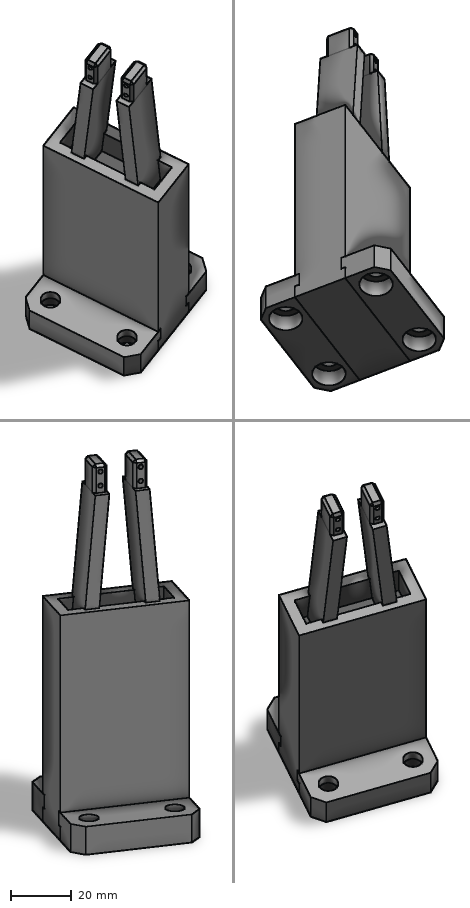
import cadquery as cq

housing_length = 45.0
housing_width = 19.0
housing_height = 80.0
wall = 4.0
cavity_depth = 10.0
cavity_length = housing_length - 2 * wall
cavity_width = housing_width - 2 * wall
cavity_floor_z = housing_height - cavity_depth

flange_span = 49.0
flange_height = 10.0
flange_width = (flange_span - housing_width) / 2
corner_chamfer = 4.0
tongue_depth = 1.5
tongue_height = flange_height / 2
bolt_hole_diameter = 6.5
counterbore_diameter = 11.0
counterbore_depth = 6.6
bolt_hole_x = 15.0
bolt_hole_y = 17.0

total_height = 130.0
tip_height = 10.0
tip_thickness = 5.0
tip_width = 10.0
tip_chamfer = 1.0
tip_x = 7.0
arm_top_z = total_height - tip_height
arm_width = 14.0
arm_foot_x = 11.5
tip_hole_diameter = 1.5
tip_hole_spacing = tip_height / 2

SIDES = (-1, 1)


def make_tongue(side):
    """Bar filling the groove on one Y side of the housing, flush with the flange top."""
    return cq.Workplane("XY").box(
        housing_length, tongue_depth, tongue_height, centered=(True, True, False)
    ).translate((0, side * (housing_width - tongue_depth) / 2, flange_height - tongue_height))


def make_cavity():
    """Rectangular space that the fingers rise from, open at the housing top."""
    return cq.Workplane("XY").workplane(offset=cavity_floor_z).rect(
        cavity_length, cavity_width
    ).extrude(cavity_depth)


def make_housing():
    """Block with the finger cavity on top and a tongue groove on each Y side."""
    block = cq.Workplane("XY").box(
        housing_length, housing_width, housing_height, centered=(True, True, False)
    )
    block = block.cut(make_cavity())
    for side in SIDES:
        block = block.cut(make_tongue(side))
    return block


def make_flange(side):
    """Plate on one Y side, with chamfered outer corners, two bolt holes counterbored below, and its tongue."""
    plate = cq.Workplane("XY").box(
        housing_length, flange_width, flange_height, centered=(True, True, False)
    ).translate((0, side * (housing_width + flange_width) / 2, 0))
    outer_corners = "|Z and >Y" if side > 0 else "|Z and <Y"
    plate = plate.edges(outer_corners).chamfer(corner_chamfer)
    bolt_holes = cq.Workplane("XY").pushPoints(
        [(end * bolt_hole_x, side * bolt_hole_y) for end in SIDES]
    )
    shanks = bolt_holes.circle(bolt_hole_diameter / 2).extrude(flange_height)
    counterbores = bolt_holes.circle(counterbore_diameter / 2).extrude(counterbore_depth)
    return plate.cut(shanks).cut(counterbores).union(make_tongue(side))


def make_arm(side):
    """Leaning bar on the cavity floor; above the cavity it widens and rests on the rim."""
    half_thickness = tip_thickness / 2
    arm = cq.Workplane("XZ").polyline([
        (side * (arm_foot_x - half_thickness), cavity_floor_z),
        (side * (arm_foot_x + half_thickness), cavity_floor_z),
        (side * (tip_x + half_thickness), arm_top_z),
        (side * (tip_x - half_thickness), arm_top_z),
    ]).close().extrude(arm_width / 2, both=True)
    upper_room = cq.Workplane("XY").workplane(offset=housing_height).rect(
        housing_length, housing_width
    ).extrude(total_height - housing_height)
    return arm.intersect(make_cavity().union(upper_room))


def make_tip(side):
    """Upright block with chamfered vertical and top edges and two cross holes along Y."""
    tip = cq.Workplane("XY").box(
        tip_thickness, tip_width, tip_height, centered=(True, True, False)
    ).edges("|Z or >Z").chamfer(tip_chamfer)
    cross_holes = cq.Workplane("XZ").pushPoints(
        [(0, (tip_height + end * tip_hole_spacing) / 2) for end in SIDES]
    ).circle(tip_hole_diameter / 2).extrude(tip_width, both=True)
    return tip.cut(cross_holes).translate((side * tip_x, 0, arm_top_z))


def make_finger(side):
    """Arm and tip of one finger as a single solid."""
    return make_arm(side).union(make_tip(side))


housing = make_housing()
flanges = [make_flange(side) for side in SIDES]
fingers = [make_finger(side) for side in SIDES]

result = cq.Compound.makeCompound([
    housing.val(),
    *[solid for flange in flanges for solid in flange.vals()],
    *[solid for finger in fingers for solid in finger.vals()],
])